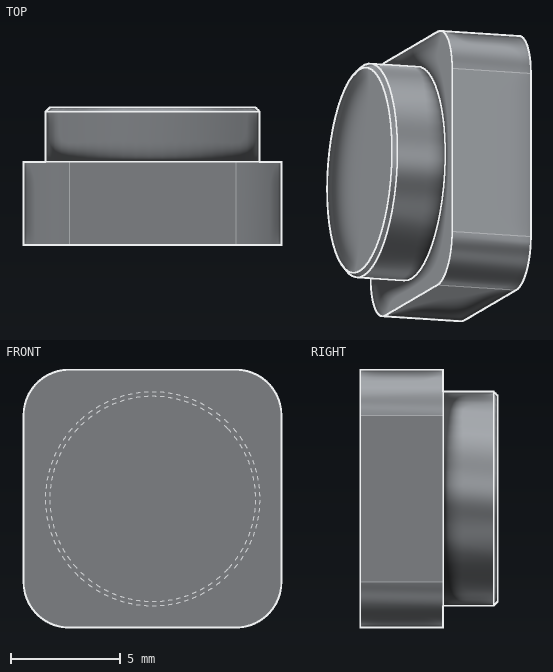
import cadquery as cq

plate_width = 11.8
plate_thickness = 3.8
corner_radius = 2.1

boss_diameter = 9.8
boss_height = 2.5
boss_chamfer = 0.2


def make_plate():
    """Rounded square plate running from Y = 0 to Y = plate_thickness."""
    return (
        cq.Workplane("XZ")
        .rect(plate_width, plate_width)
        .extrude(-plate_thickness)
        .edges("|Y")
        .fillet(corner_radius)
    )


def make_boss():
    """Round boss standing on the plate, chamfered at its free end."""
    return (
        cq.Workplane("XZ", origin=(0, plate_thickness, 0))
        .circle(boss_diameter / 2)
        .extrude(-boss_height)
        .faces(">Y")
        .chamfer(boss_chamfer)
    )


result = make_plate().union(make_boss())